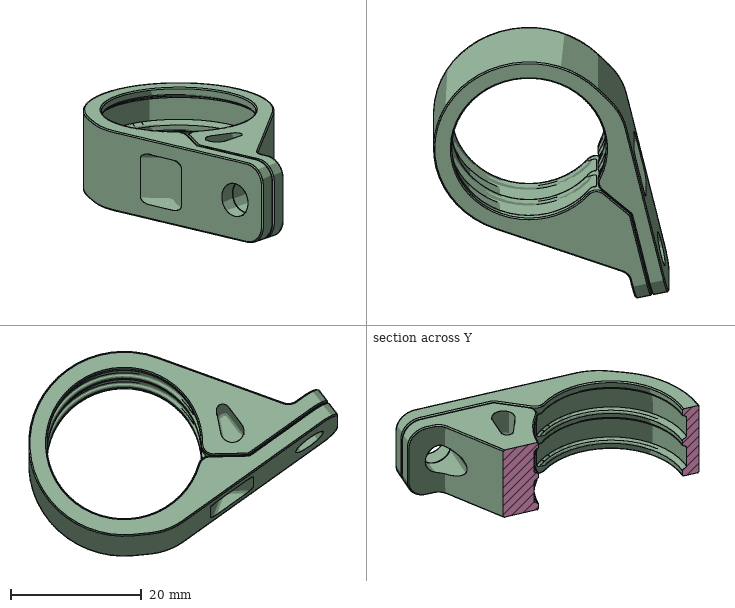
import cadquery as cq
import math

height = 12.7
ring_radius = 14.57
bore_radius = 11.8

ear_end_x = 29.38
ear_front_y = -15.27
plate_thickness = 2.57
slot_y = ear_front_y + plate_thickness
ear_back_y = slot_y + plate_thickness
ear_corner_radius = 3.1
screw_hole_x = 23.9
screw_hole_diameter = 5.2

front_blend_radius = 10.2
flank_angle = math.radians(56.8)
flank_blend_radius = 2.0

slot_width = 0.1
slot_bend_x = 14.33
slot_bend_radius = 1.0
slot_bend_angle = math.radians(35.0)
slot_bent_length = 8.0
lip_radius = 1.75

edge_chamfer = 0.2

middle_land = 0.75
groove_width = 4.88
groove_depth = 0.7
groove_round = groove_depth / 2

teardrop_big_radius = 1.78
teardrop_small_radius = 1.0
teardrop_side_x = 16.24
teardrop_big_y = -8.2
teardrop_small_y = -4.73
teardrop_depth = 5.0
teardrop_floor_fillet = 0.95

v_pocket_x = 9.18
v_pocket_width = 8.16
v_pocket_height = 8.0
v_pocket_angle = math.radians(33.8)
v_pocket_apex_radius = 2.1
v_pocket_end_fillet = 1.0

corner_reach = 0.5
clearance = 1.0


def on_circle(center, radius, angle):
    """Point at the given angle on a circle."""
    return (center[0] + radius * math.cos(angle), center[1] + radius * math.sin(angle))


def make_body():
    """Ring and ear in one outline, with a straight flank and underside tangent to the ring."""
    blend_center = (0, ear_front_y + front_blend_radius)
    tilt = math.acos((ring_radius - front_blend_radius) / -blend_center[1])
    underside_angle = -math.pi / 2 - tilt
    flank_normal = math.pi / 2 - flank_angle
    flank_top = on_circle((0, 0), ring_radius, flank_normal)
    flank_foot_x = flank_top[0] + (flank_top[1] - ear_back_y) / math.tan(flank_angle)
    body = (
        cq.Workplane("XY", origin=(0, 0, -height / 2))
        .moveTo(*flank_top)
        .threePointArc((-ring_radius, 0), on_circle((0, 0), ring_radius, underside_angle))
        .lineTo(*on_circle(blend_center, front_blend_radius, underside_angle))
        .threePointArc(
            on_circle(blend_center, front_blend_radius, -math.pi / 2 - tilt / 2),
            (0, ear_front_y),
        )
        .lineTo(ear_end_x, ear_front_y)
        .lineTo(ear_end_x, ear_back_y)
        .lineTo(flank_foot_x, ear_back_y)
        .close()
        .extrude(height)
    )
    foot_edge = cq.selectors.NearestToPointSelector((flank_foot_x, ear_back_y, 0))
    body = body.edges("|Z").edges(foot_edge).fillet(flank_blend_radius)
    return body.edges("|Y and >X").fillet(ear_corner_radius)


def corner_selector(x, y):
    """Select the upright edges close to one place in plan."""
    return cq.selectors.BoxSelector(
        (x - corner_reach, y - corner_reach, -corner_reach),
        (x + corner_reach, y + corner_reach, corner_reach),
    )


def make_slot():
    """Bent slot of constant width, rounded where it bends."""
    half = slot_width / 2
    bend_shift = half * math.tan(slot_bend_angle / 2)
    shift_x = half * math.sin(slot_bend_angle)
    shift_y = half * math.cos(slot_bend_angle)
    bent_end_x = slot_bend_x - slot_bent_length * math.cos(slot_bend_angle)
    bent_end_y = slot_y + slot_bent_length * math.sin(slot_bend_angle)
    return (
        cq.Workplane("XY", origin=(0, 0, -height / 2))
        .moveTo(ear_end_x + clearance, slot_y - half)
        .lineTo(slot_bend_x - bend_shift, slot_y - half)
        .lineTo(bent_end_x - shift_x, bent_end_y - shift_y)
        .lineTo(bent_end_x + shift_x, bent_end_y + shift_y)
        .lineTo(slot_bend_x + bend_shift, slot_y + half)
        .lineTo(ear_end_x + clearance, slot_y + half)
        .close()
        .extrude(height)
        .edges("|Z")
        .edges(corner_selector(slot_bend_x, slot_y))
        .fillet(slot_bend_radius)
    )


def round_lips(body):
    """Round the two lips where the slot opens into the bore."""
    sine = math.sin(slot_bend_angle)
    cosine = math.cos(slot_bend_angle)
    offset = slot_bend_x * sine + slot_y * cosine
    along = math.sqrt(bore_radius**2 - offset**2)
    mouth_x = offset * sine + along * cosine
    mouth_y = offset * cosine - along * sine
    return body.edges("|Z").edges(corner_selector(mouth_x, mouth_y)).fillet(lip_radius)


def chamfer_outline(body):
    """Chamfer every edge of the flat faces and carry it around the rounded ear end."""
    rims = body.faces("<Z or >Z").edges()
    ear_corner_box = cq.selectors.BoxSelector(
        (ear_end_x - ear_corner_radius, ear_front_y - clearance, -height),
        (ear_end_x + clearance, ear_back_y + clearance, height),
    )
    ear_corners = body.edges("%CIRCLE").edges(ear_corner_box)
    ear_ends = body.faces(">X").edges("|Z")
    return rims.add(ear_corners).add(ear_ends).chamfer(edge_chamfer)


def make_groove(bottom_z):
    """Revolved groove whose two flanks are S-curves of equal convex and concave rounds."""
    top_z = bottom_z + groove_width
    middle_radius = bore_radius + groove_round
    floor_radius = bore_radius + groove_depth
    inside_radius = bore_radius - clearance
    return (
        cq.Workplane("XZ")
        .moveTo(inside_radius, bottom_z)
        .lineTo(bore_radius, bottom_z)
        .radiusArc((middle_radius, bottom_z + groove_round), groove_round)
        .radiusArc((floor_radius, bottom_z + 2 * groove_round), -groove_round)
        .lineTo(floor_radius, top_z - 2 * groove_round)
        .radiusArc((middle_radius, top_z - groove_round), -groove_round)
        .radiusArc((bore_radius, top_z), groove_round)
        .lineTo(inside_radius, top_z)
        .close()
        .revolve(360, (0, 0, 0), (0, 1, 0))
    )


def make_teardrop():
    """Cutter around two circles that share one straight side, with a rounded floor."""
    big_center = (teardrop_side_x - teardrop_big_radius, teardrop_big_y)
    small_center = (teardrop_side_x - teardrop_small_radius, teardrop_small_y)
    axis_angle = math.atan2(small_center[1] - big_center[1], small_center[0] - big_center[0])
    left_normal = 2 * axis_angle
    return (
        cq.Workplane("XY", origin=(0, 0, height / 2 - teardrop_depth))
        .moveTo(teardrop_side_x, teardrop_big_y)
        .lineTo(teardrop_side_x, teardrop_small_y)
        .threePointArc(
            on_circle(small_center, teardrop_small_radius, axis_angle),
            on_circle(small_center, teardrop_small_radius, left_normal),
        )
        .lineTo(*on_circle(big_center, teardrop_big_radius, left_normal))
        .threePointArc(
            on_circle(big_center, teardrop_big_radius, axis_angle + math.pi),
            (teardrop_side_x, teardrop_big_y),
        )
        .close()
        .extrude(teardrop_depth)
        .faces("<Z")
        .edges()
        .fillet(teardrop_floor_fillet)
    )


def make_v_pocket():
    """Triangular cutter with a rounded apex and rounded upper and lower ends."""
    depth = v_pocket_width / 2 * math.tan(v_pocket_angle)
    outer_half_width = v_pocket_width / 2 + clearance / math.tan(v_pocket_angle)
    outer_y = ear_front_y - clearance
    return (
        cq.Workplane("XY", origin=(v_pocket_x, 0, -v_pocket_height / 2))
        .moveTo(-outer_half_width, outer_y)
        .lineTo(outer_half_width, outer_y)
        .lineTo(0, ear_front_y + depth)
        .close()
        .extrude(v_pocket_height)
        .edges("|Z and >Y")
        .fillet(v_pocket_apex_radius)
        .faces("<Z or >Z")
        .edges("not <Y")
        .fillet(v_pocket_end_fillet)
    )


def make_screw_hole():
    """Hole through both plates, running on to clear the flank behind them."""
    return (
        cq.Workplane("XZ", origin=(screw_hole_x, ring_radius, 0))
        .circle(screw_hole_diameter / 2)
        .extrude(ring_radius - ear_front_y + clearance)
    )


bore = cq.Workplane("XY").circle(bore_radius).extrude(height, both=True)
clamp = make_body().cut(bore).cut(make_slot())
clamp = chamfer_outline(round_lips(clamp))
for groove_bottom in (middle_land / 2, -middle_land / 2 - groove_width):
    clamp = clamp.cut(make_groove(groove_bottom))
for cutter in (make_teardrop(), make_v_pocket(), make_screw_hole()):
    clamp = clamp.cut(cutter)

result = cq.Workplane(clamp.solids().val())